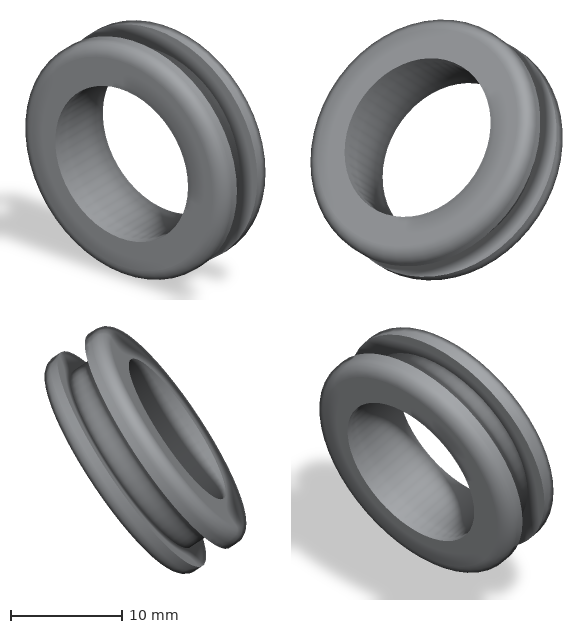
import cadquery as cq

outer_diameter = 23.0
groove_diameter = 19.0
bore_diameter = 15.0
flange_thickness = 2.0
groove_width = 3.0
rim_radius = 1.2

total_width = groove_width + 2 * flange_thickness


def disc(diameter, width):
    """Cylinder along the Y axis, centred on the origin."""
    return cq.Workplane("XZ", origin=(0, width / 2, 0)).circle(diameter / 2).extrude(width)


def groove_cutter():
    """Ring that removes everything outside the groove floor."""
    return disc(outer_diameter, groove_width).cut(disc(groove_diameter, groove_width))


rounded_blank = disc(outer_diameter, total_width).faces("<Y or >Y").edges().fillet(rim_radius)

result = rounded_blank.cut(groove_cutter()).cut(disc(bore_diameter, total_width))